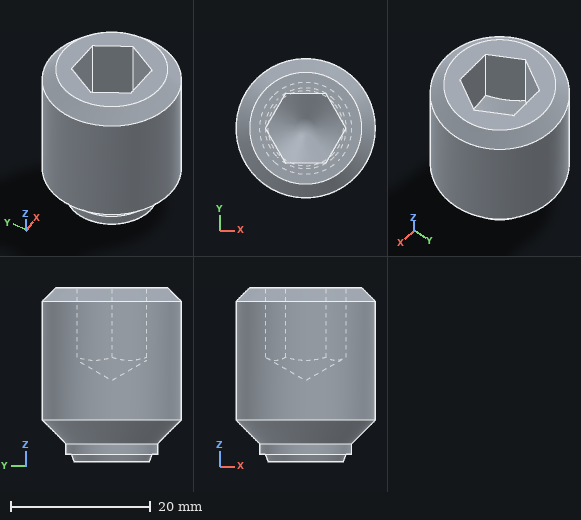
import cadquery as cq
import math

body_radius = 10.0
top_chamfer = 1.98
total_height = 25.0
cone_top_z = 6.0
collar_radius = 6.6
cone_bottom_z = cone_top_z - (body_radius - collar_radius)
collar_bottom_z = 1.1

socket_across_flats = 10.0
socket_depth = 10.0
socket_corner_radius = socket_across_flats / math.sqrt(3)
drill_point_half_angle = 60.0
drill_point_depth = socket_corner_radius / math.tan(math.radians(drill_point_half_angle))

tip_root_radius = 5.8
tip_end_radius = 5.4


def revolve_profile(points):
    """Revolve a closed (radius, z) profile about the Z axis."""
    return cq.Workplane("XZ").polyline(points).close().revolve(360, (0, 0), (0, 1))


def make_socket():
    """Hexagonal prism, corners on the X axis, above a cone on its corner circle."""
    floor_z = total_height - socket_depth
    prism = (
        cq.Workplane("XY", origin=(0, 0, floor_z - drill_point_depth))
        .polygon(6, 2 * socket_corner_radius)
        .extrude(socket_depth + drill_point_depth)
    )
    drill = revolve_profile([
        (0, floor_z - drill_point_depth),
        (socket_corner_radius, floor_z),
        (socket_corner_radius, total_height),
        (0, total_height),
    ])
    return prism.intersect(drill)


def make_screw():
    """Chamfered cylinder with a lower cone, a collar and a hexagon socket."""
    blank = revolve_profile([
        (0, collar_bottom_z),
        (collar_radius, collar_bottom_z),
        (collar_radius, cone_bottom_z),
        (body_radius, cone_top_z),
        (body_radius, total_height - top_chamfer),
        (body_radius - top_chamfer, total_height),
        (0, total_height),
    ])
    return blank.cut(make_socket())


def make_tip():
    """Tapered pad that projects below the collar."""
    return revolve_profile([
        (0, 0),
        (tip_end_radius, 0),
        (tip_root_radius, collar_bottom_z),
        (0, collar_bottom_z),
    ])


screw = make_screw()
tip = make_tip()
result = cq.Compound.makeCompound([screw.val(), tip.val()])